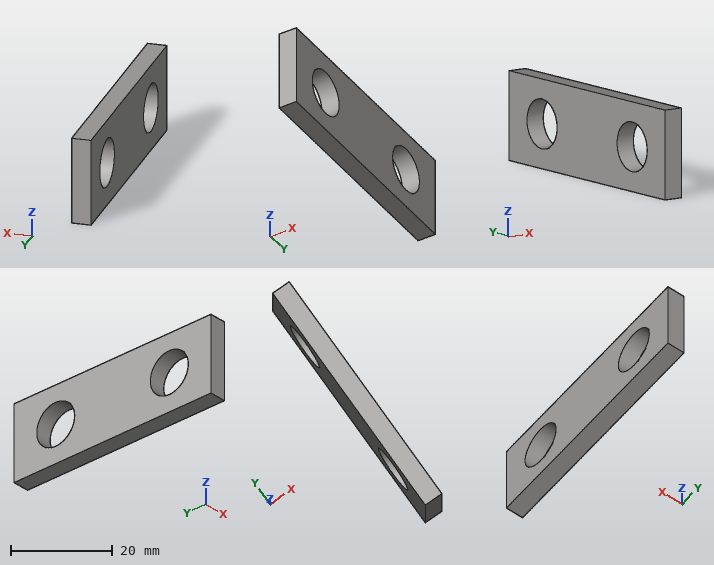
import cadquery as cq

thickness = 4.0
length = 52.0
height = 18.0

hole_diameter = 10.0
hole_spacing = 30.0

plate = cq.Workplane("XY").box(thickness, length, height)

hole_centers = [(-hole_spacing / 2, 0), (hole_spacing / 2, 0)]
result = plate.faces(">X").workplane().pushPoints(hole_centers).hole(hole_diameter)